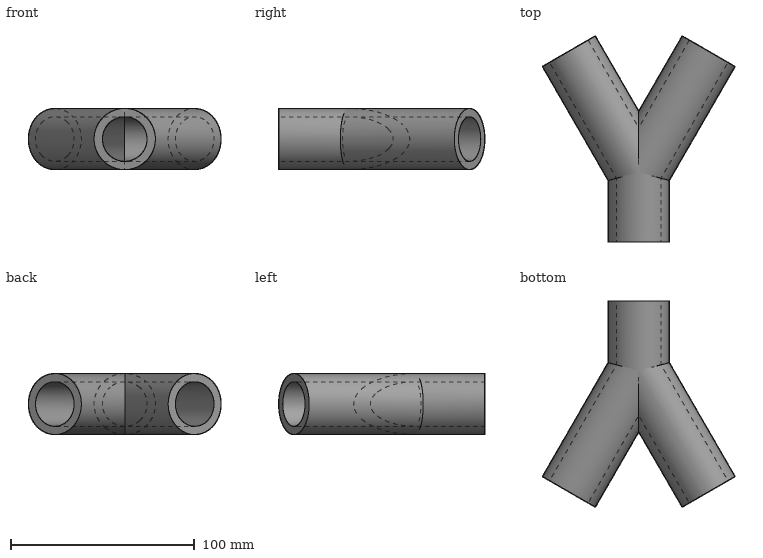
import cadquery as cq
import math

overall_length = 112.4
outer_diameter = 33.4
bore_diameter = 24.3
arm_angle = 30.0
arm_to_stem_ratio = 2.0

arm_sin = math.sin(math.radians(arm_angle))
arm_cos = math.cos(math.radians(arm_angle))

stem_length = (overall_length - outer_diameter / 2 * arm_sin) / (1 + arm_to_stem_ratio * arm_cos)
arm_length = arm_to_stem_ratio * stem_length

mitre_slope = math.tan(math.radians(arm_angle / 2))
reach = 2 * overall_length
mitre_drop = reach * mitre_slope


def cylinder(diameter, start, direction, length):
    """Solid cylinder from a start point along a direction."""
    solid = cq.Solid.makeCylinder(diameter / 2, length, cq.Vector(*start), cq.Vector(*direction))
    return cq.Workplane(obj=solid)


def wedge(points):
    """Prism on an XY outline, centred on Z."""
    return cq.Workplane("XY").polyline(points).close().extrude(outer_diameter, both=True)


def wye(diameter):
    """Three solid branches trimmed where they meet at the junction."""
    stem_space = wedge([
        (0, stem_length),
        (reach, stem_length - mitre_drop),
        (-reach, stem_length - mitre_drop),
    ])
    body = cylinder(diameter, (0, 0, 0), (0, 1, 0), stem_length + diameter).intersect(stem_space)

    for side in (-1, 1):
        arm_space = wedge([
            (0, stem_length),
            (side * reach, stem_length - mitre_drop),
            (side * reach, reach),
            (0, reach),
        ])
        setback = outer_diameter
        start = (-side * setback * arm_sin, stem_length - setback * arm_cos, 0)
        arm = cylinder(diameter, start, (side * arm_sin, arm_cos, 0), arm_length + setback)
        body = body.union(arm.intersect(arm_space))
    return body


result = wye(outer_diameter).cut(wye(bore_diameter))